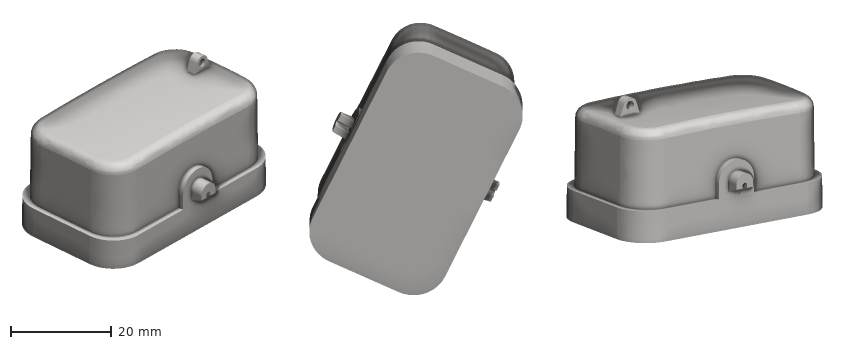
import cadquery as cq
import math

BASE_X, BASE_Y, BASE_Z = 29.15, 48.45, 6.55
BASE_CORNER = 6.93
BASE_DRAFT = 0.5

BODY_X, BODY_Y = 26.75, 46.0
BODY_CORNER = 6.55
BODY_DRAFT = 0.8
CROWN_Z = 23.45
CROWN_RADIUS_ACROSS = 193.7
CROWN_RADIUS_ALONG = 532.75
TOP_FILLET = 2.1

PIN_AXIS_Z = 9.95
PIN_RADIUS = 2.05
PIN_TIP_X = 34.9 / 2
PIN_TIP_BOTTOM_Z = 8.85
PIN_ROOT_BOTTOM_Z = 7.85
PAD_RADIUS = 4.25
PAD_FACE_X = BASE_X / 2
PAD_ROOT_X = BODY_X / 2 - 0.95

SLOT_TOP_WIDTH, SLOT_BOTTOM_WIDTH = 1.05, 1.4
SLOT_TOP_Z = 10.03
SLOT_FLOOR_X = BASE_X / 2 - BASE_Z * math.tan(math.radians(BASE_DRAFT))

LUG_THICKNESS = 2.05
LUG_Y = 17.05
LUG_TOP_Z = 26.8
LUG_RADIUS = 1.6
LUG_HOLE_DIAMETER = 1.85
LUG_FLANK_ANGLE = 18.5
LUG_ROOT_Z = 22.5


def drafted_block(length_x, length_y, height, corner, draft):
    """Rounded rectangle rising from Z = 0 and tapering inward."""
    outline = cq.Sketch().rect(length_x, length_y).vertices().fillet(corner)
    return cq.Workplane("XY").placeSketch(outline).extrude(height, taper=draft)


def make_base():
    return drafted_block(BASE_X, BASE_Y, BASE_Z, BASE_CORNER, BASE_DRAFT)


def make_crown():
    """Barrel about a low axis along Y; its outer surface is the crown."""
    half_length = BASE_Y / 2
    sag = CROWN_RADIUS_ALONG - math.sqrt(CROWN_RADIUS_ALONG**2 - half_length**2)
    axis_z = CROWN_Z - CROWN_RADIUS_ACROSS
    return (
        cq.Workplane("YZ")
        .moveTo(-half_length, axis_z)
        .lineTo(-half_length, CROWN_Z - sag)
        .threePointArc((0, CROWN_Z), (half_length, CROWN_Z - sag))
        .lineTo(half_length, axis_z)
        .close()
        .revolve(360, (-half_length, axis_z, 0), (half_length, axis_z, 0))
    )


def make_housing():
    """Drafted cover with a shallow double-curved crown and a rounded top edge."""
    body = drafted_block(BODY_X, BODY_Y, CROWN_Z - BASE_Z + 0.5, BODY_CORNER, BODY_DRAFT)
    body = body.translate((0, 0, BASE_Z))
    return body.intersect(make_crown()).faces(">Z").edges().fillet(TOP_FILLET)


def arched_block(radius, bottom_z, start_x, end_x):
    """Half-round-topped block along X, centred on the pin axis."""
    return (
        cq.Workplane("YZ", origin=(start_x, 0, 0))
        .moveTo(-radius, bottom_z)
        .lineTo(-radius, PIN_AXIS_Z)
        .threePointArc((0, PIN_AXIS_Z + radius), (radius, PIN_AXIS_Z))
        .lineTo(radius, bottom_z)
        .close()
        .extrude(end_x - start_x)
    )


def make_pin():
    """Arched pin whose underside slopes up toward the tip."""
    pin = arched_block(PIN_RADIUS, PIN_ROOT_BOTTOM_Z, PAD_FACE_X, PIN_TIP_X)
    underside = (
        cq.Workplane("XZ")
        .polyline([
            (PAD_FACE_X, PIN_ROOT_BOTTOM_Z),
            (PIN_TIP_X, PIN_TIP_BOTTOM_Z),
            (PIN_TIP_X, PIN_ROOT_BOTTOM_Z),
        ])
        .close()
        .extrude(PIN_RADIUS, both=True)
    )
    return pin.cut(underside)


def make_slot():
    """Round-topped slot that widens down to the rim."""
    top_half = SLOT_TOP_WIDTH / 2
    bottom_half = SLOT_BOTTOM_WIDTH / 2
    arc_z = SLOT_TOP_Z - top_half
    return (
        cq.Workplane("YZ", origin=(SLOT_FLOOR_X, 0, 0))
        .moveTo(-bottom_half, BASE_Z)
        .lineTo(-top_half, arc_z)
        .threePointArc((0, SLOT_TOP_Z), (top_half, arc_z))
        .lineTo(bottom_half, BASE_Z)
        .close()
        .extrude(PIN_TIP_X - SLOT_FLOOR_X)
    )


def make_pivot():
    """Pad and slotted pin on the +X side."""
    pad = arched_block(PAD_RADIUS, BASE_Z, PAD_ROOT_X, PAD_FACE_X)
    return pad.union(make_pin()).cut(make_slot())


def make_lug():
    """Rounded lug with tangent sloping flanks, beside the X = 0 plane."""
    angle = math.radians(LUG_FLANK_ANGLE)
    center_z = LUG_TOP_Z - LUG_RADIUS
    tangent_y = LUG_RADIUS * math.cos(angle)
    tangent_z = center_z + LUG_RADIUS * math.sin(angle)
    root_y = tangent_y + (tangent_z - LUG_ROOT_Z) * math.tan(angle)
    plate = (
        cq.Workplane("YZ")
        .moveTo(LUG_Y - root_y, LUG_ROOT_Z)
        .lineTo(LUG_Y - tangent_y, tangent_z)
        .threePointArc((LUG_Y, LUG_TOP_Z), (LUG_Y + tangent_y, tangent_z))
        .lineTo(LUG_Y + root_y, LUG_ROOT_Z)
        .close()
        .extrude(-LUG_THICKNESS)
    )
    hole = (
        cq.Workplane("YZ")
        .center(LUG_Y, center_z)
        .circle(LUG_HOLE_DIAMETER / 2)
        .extrude(-LUG_THICKNESS)
    )
    return plate.cut(hole)


pivot = make_pivot()
result = (
    make_base()
    .union(make_housing())
    .union(pivot)
    .union(pivot.mirror("YZ"))
    .union(make_lug())
)